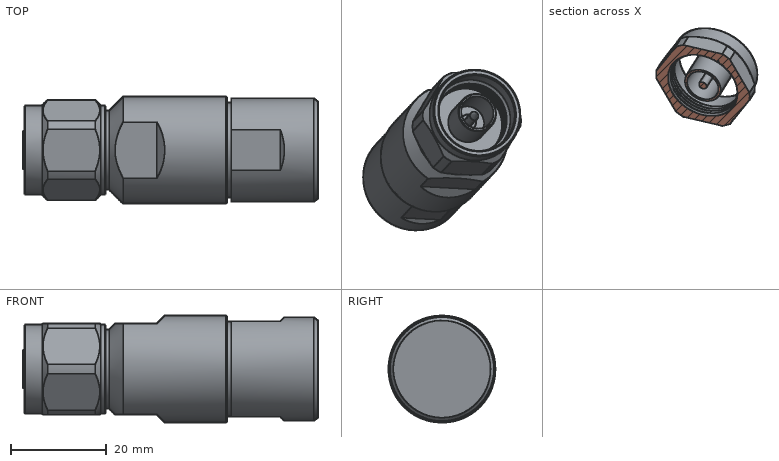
import cadquery as cq
import math


nut_front = 0.28
hex_start = 3.98
hex_end = 16.25
nut_rear = 17.3
shoulder_start = 18.0
body_end = 42.7
rear_start = 43.5
overall_length = 61.63

nut_ring_radius = 9.35
neck_radius = 8.3
body_radius = 11.2
groove_radius = 9.95
rear_radius = 10.85

nut_chamfer = 0.25
body_chamfer = 0.3
rear_chamfer_length = 0.9
rear_chamfer_depth = 0.7

hex_across_flats = 19.1
hex_corner_radius = 10.5

body_flat_height = 9.54
body_flat_end = 27.95
rear_flat_height = 10.0
rear_flat_end = 53.75

mouth_radius = 8.1
thread_lead_in = 0.5
mouth_chamfer = 0.25
mouth_end = 4.6
thread_minor_radius = 7.45
thread_depth = 0.5
thread_pitch = 0.8
thread_turns = 5
socket_floor = 9.8

sleeve_outer_radius = 4.05
sleeve_inner_radius = 3.45
sleeve_chamfer = 0.15
sleeve_floor = 9.0
pin_radius = 0.9
pin_tip_position = 0.7
pin_tip_length = 2.4
pin_shoulder_radius = 1.65
pin_shoulder_length = 0.5


def revolve_about_axis(points):
    """Turn an (x, radius) outline about the X axis."""
    return cq.Workplane("XY").polyline(points).close().revolve(360, (0, 0, 0), (1, 0, 0))


def make_turned_body():
    """Outer round profile, without the hexagon."""
    shoulder_end = shoulder_start + body_radius - neck_radius
    return revolve_about_axis([
        (nut_front, 0),
        (nut_front, nut_ring_radius - nut_chamfer),
        (nut_front + nut_chamfer, nut_ring_radius),
        (nut_rear - nut_chamfer, nut_ring_radius),
        (nut_rear, nut_ring_radius - nut_chamfer),
        (nut_rear, neck_radius),
        (shoulder_start, neck_radius),
        (shoulder_end, body_radius),
        (body_end - body_chamfer, body_radius),
        (body_end, body_radius - body_chamfer),
        (body_end, groove_radius),
        (rear_start, groove_radius),
        (rear_start, rear_radius),
        (overall_length - rear_chamfer_length, rear_radius),
        (overall_length, rear_radius - rear_chamfer_depth),
        (overall_length, 0),
    ])


def make_coupling_hexagon():
    """Hexagon with flats at top and bottom and its corners turned to a chamfered barrel."""
    corner_chamfer = hex_corner_radius - nut_ring_radius
    prism = (
        cq.Workplane("YZ", origin=(hex_start, 0, 0))
        .polygon(6, hex_across_flats / math.cos(math.pi / 6))
        .extrude(hex_end - hex_start)
    )
    barrel = revolve_about_axis([
        (hex_start, 0),
        (hex_start, nut_ring_radius),
        (hex_start + corner_chamfer, hex_corner_radius),
        (hex_end - corner_chamfer, hex_corner_radius),
        (hex_end, nut_ring_radius),
        (hex_end, 0),
    ])
    return prism.intersect(barrel)


def make_flat_cutter(start, end, height):
    """Material above a wrench flat on the top side, with a 45 degree wall at its rear end."""
    rise = body_radius
    return (
        cq.Workplane("XZ")
        .polyline([
            (start, height),
            (end, height),
            (end + rise, height + rise),
            (start, height + rise),
        ])
        .close()
        .extrude(body_radius, both=True)
    )


def cut_flat_pair(part, start, end, height):
    """Cut matching flats on the top and bottom."""
    cutter = make_flat_cutter(start, end, height)
    return part.cut(cutter).cut(cutter.mirror("XY"))


def make_socket():
    """Cavity of the nut: chamfered mouth, smooth bore, and ring-shaped thread grooves."""
    thread_start = mouth_end + thread_lead_in
    outline = [
        (nut_front, 0),
        (nut_front, mouth_radius + mouth_chamfer),
        (nut_front + mouth_chamfer, mouth_radius),
        (mouth_end, mouth_radius),
        (thread_start, thread_minor_radius),
    ]
    for turn in range(thread_turns):
        crest = thread_start + turn * thread_pitch
        outline.append((crest + thread_pitch / 2, thread_minor_radius + thread_depth))
        outline.append((crest + thread_pitch, thread_minor_radius))
    outline += [
        (socket_floor, thread_minor_radius),
        (socket_floor, 0),
    ]
    return revolve_about_axis(outline)


def make_contact_sleeve():
    """Outer contact sleeve reaching to the front end, closed at its floor."""
    return revolve_about_axis([
        (0, sleeve_inner_radius),
        (0, sleeve_outer_radius - sleeve_chamfer),
        (sleeve_chamfer, sleeve_outer_radius),
        (socket_floor, sleeve_outer_radius),
        (socket_floor, 0),
        (sleeve_floor, 0),
        (sleeve_floor, sleeve_inner_radius),
    ])


def make_centre_pin():
    """Centre pin with a pointed tip and a stepped base."""
    shoulder_front = sleeve_floor - pin_shoulder_length
    return revolve_about_axis([
        (pin_tip_position, 0),
        (pin_tip_position + pin_tip_length, pin_radius),
        (shoulder_front, pin_radius),
        (shoulder_front, pin_shoulder_radius),
        (sleeve_floor, pin_shoulder_radius),
        (sleeve_floor, 0),
    ])


result = make_turned_body().union(make_coupling_hexagon())
result = cut_flat_pair(result, shoulder_start, body_flat_end, body_flat_height)
result = cut_flat_pair(result, rear_start, rear_flat_end, rear_flat_height)
result = result.cut(make_socket())
result = result.union(make_contact_sleeve()).union(make_centre_pin())